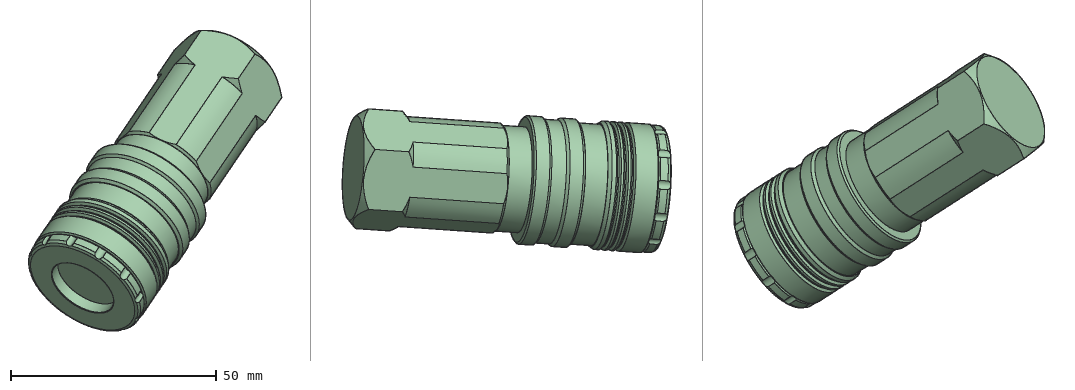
import cadquery as cq
import math

length = 76.25

sleeve_diameter = 31.5
sleeve_radius = sleeve_diameter / 2
crown_radius = 15.55
crown_end = 2.9
nose_face_radius = 14.5
nose_ridge_radius = 15.2
nose_ridge = 0.3
nose_end = 1.0
crown_groove_radius = 15.25
crown_groove = 3.3
band_start = 3.6
grip_end = 15.0
grip_lip_radius = 15.2
waist_start = 15.9
waist_radius = 14.9
waist_end = 21.5
waist_lip_radius = 15.1
front_flange_start = 22.2
front_flange_end = 25.55
neck_start = 26.3
neck_radius = 15.2
neck_end = 30.0
rear_flange_start = 30.6
sleeve_end = 34.4
rear_chamfer = 0.45

v_groove_count = 3
v_groove_first = 9.7
v_groove_pitch = 1.8
v_groove_width = 1.2
v_groove_depth = 0.7
v_groove_root_width = 0.3

scallop_count = 12
scallop_radius = 1.3
scallop_floor_radius = 14.95
scallop_center_radius = scallop_floor_radius + scallop_radius
scallop_first_angle = 180 / scallop_count

bore_radius = 8.55
bore_depth = 3.05
bore_chamfer = 0.15

hex_sides = 6
hex_apothem = 13.0
hex_corner_radius = hex_apothem / math.cos(math.pi / hex_sides)
body_start = 40.1
body_chamfer = 0.6
shank_radius = 13.5
shank_end = 64.1
head_start = 65.6
end_chamfer = 2.2


def revolve_about_y(points):
    """Solid of revolution from (radius, station) points, closed on the axis."""
    outline = [(0, points[0][1])] + points + [(0, points[-1][1])]
    return cq.Workplane("XY").polyline(outline).close().revolve(360, (0, 0, 0), (0, 1, 0))


def along_y(start):
    """Workplane normal to +Y at a station."""
    return cq.Workplane("XZ", origin=(0, start, 0)).transformed(rotate=(180, 0, 0))


def make_crown():
    """Front ring with a double-bevelled nose and scallops around its rim."""
    crown = revolve_about_y([
        (nose_face_radius, 0),
        (nose_ridge_radius, nose_ridge),
        (crown_radius, nose_end),
        (crown_radius, crown_end),
        (crown_groove_radius, crown_groove),
    ])
    scallops = (
        along_y(0)
        .polarArray(scallop_center_radius, scallop_first_angle, 360, scallop_count)
        .circle(scallop_radius)
        .extrude(crown_groove)
    )
    return crown.cut(scallops)


def make_sleeve():
    """Stepped sleeve behind the crown, with flat-bottomed V-grooves in its grip."""
    points = [(crown_groove_radius, crown_groove), (sleeve_radius, band_start)]
    for i in range(v_groove_count):
        root = v_groove_first + i * v_groove_pitch
        points += [
            (sleeve_radius, root - v_groove_width / 2),
            (sleeve_radius - v_groove_depth, root - v_groove_root_width / 2),
            (sleeve_radius - v_groove_depth, root + v_groove_root_width / 2),
            (sleeve_radius, root + v_groove_width / 2),
        ]
    points += [
        (sleeve_radius, grip_end),
        (grip_lip_radius, waist_start),
        (waist_radius, waist_start),
        (waist_radius, waist_end),
        (waist_lip_radius, waist_end),
        (sleeve_radius, front_flange_start),
        (sleeve_radius, front_flange_end),
        (neck_radius, neck_start),
        (neck_radius, neck_end),
        (sleeve_radius, rear_flange_start),
        (sleeve_radius, sleeve_end - rear_chamfer),
        (sleeve_radius - rear_chamfer, sleeve_end),
    ]
    return revolve_about_y(points)


def make_body():
    """Hexagon with corners on the X axis, turned down to a shank behind the head."""
    hexagon = along_y(body_start).polygon(hex_sides, 2 * hex_corner_radius).extrude(length - body_start)
    turned = revolve_about_y([
        (shank_radius - body_chamfer, body_start),
        (shank_radius, body_start + body_chamfer),
        (shank_radius, shank_end),
        (hex_corner_radius, head_start),
        (hex_corner_radius, length - end_chamfer),
        (hex_corner_radius - end_chamfer, length),
    ])
    return hexagon.intersect(turned)


def make_collar():
    """Plain round collar joining the sleeve to the hexagonal body."""
    return along_y(sleeve_end).circle(hex_apothem).extrude(body_start - sleeve_end)


def make_bore():
    """Blind front bore with a chamfered mouth."""
    return revolve_about_y([
        (bore_radius + bore_chamfer, 0),
        (bore_radius, bore_chamfer),
        (bore_radius, bore_depth),
    ])


result = make_crown().union(make_sleeve()).union(make_collar()).union(make_body()).cut(make_bore())